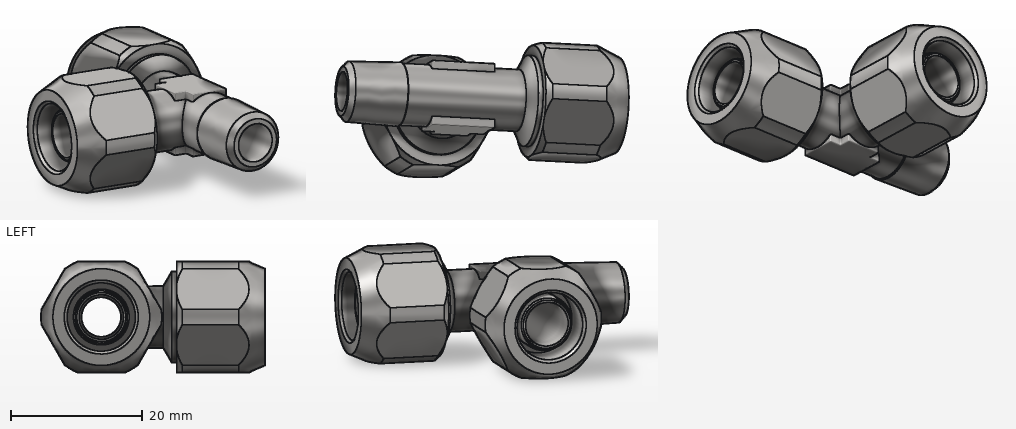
import cadquery as cq
import math

total_length = 43.5
arm_reach = 25.0
stub_reach = total_length - arm_reach

body_radius = 4.75
bore_radius = 3.4
stub_bore_radius = 3.0

block_half_width = 3.0
block_reach = 5.0
block_half_height = 5.0
block_edge_radius = 0.2

nut_flat_radius = 8.505
nut_corner_radius = 9.22
nut_length = 13.55
nut_mouth_radius = 7.4
nut_front_taper = 4.05
nut_back_radius = 8.53
nut_back_taper = 0.85

socket_radius = 5.2
socket_chamfer = 0.45
socket_depth = 6.52
spigot_recess = 2.1
spigot_tip_radius = 3.75
spigot_mid_radius = 4.0
spigot_radius = 4.25
spigot_tip_length = 0.25
spigot_taper_length = 0.85

collar_radius = 6.95
collar_length = 0.75
collar_taper = 1.3

stub_length = 9.1
stub_taper_ratio = 1 / 16
stub_radius = 4.9
stub_lead_in = 0.15
stub_chamfer = 0.85


def revolve_about_x(points):
    """Solid of revolution from (x, radius) points."""
    return cq.Workplane("XY").polyline(points).close().revolve(360, (0, 0, 0), (1, 0, 0))


def cylinder_along_x(radius, x_start, x_end):
    return cq.Workplane("YZ", origin=(x_start, 0, 0)).circle(radius).extrude(x_end - x_start)


def as_branch(arm):
    """Turn an arm lying along -X so that it lies along -Y."""
    return arm.rotate((0, 0, 0), (0, 0, 1), 90)


def make_nut():
    """Hexagon with flats facing +Z and -Z, tapered at both ends."""
    mouth = -arm_reach
    back = mouth + nut_length
    hexagon = (
        cq.Workplane("YZ", origin=(mouth, 0, 0))
        .polygon(6, 2 * nut_flat_radius / math.cos(math.pi / 6))
        .extrude(nut_length)
    )
    envelope = revolve_about_x([
        (mouth, 0),
        (mouth, nut_mouth_radius),
        (mouth + nut_front_taper, nut_corner_radius),
        (back - nut_back_taper, nut_corner_radius),
        (back, nut_back_radius),
        (back, 0),
    ])
    return hexagon.intersect(envelope)


def make_socket():
    """Ring-shaped cavity that leaves the tube spigot standing at its centre."""
    mouth = -arm_reach
    tip = mouth + spigot_recess
    floor = mouth + socket_depth
    cavity = revolve_about_x([
        (mouth, 0),
        (mouth, socket_radius + socket_chamfer),
        (mouth + socket_chamfer, socket_radius),
        (floor, socket_radius),
        (floor, 0),
    ])
    shoulder = tip + spigot_tip_length
    spigot = revolve_about_x([
        (tip, 0),
        (tip, spigot_tip_radius),
        (shoulder, spigot_mid_radius),
        (shoulder + spigot_taper_length, spigot_radius),
        (floor, spigot_radius),
        (floor, 0),
    ])
    return cavity.cut(spigot)


def make_arm():
    """Nut, collar and body tube reaching from the origin to the mouth at -X."""
    nut_back = -arm_reach + nut_length
    collar_end = nut_back + collar_length
    tube = revolve_about_x([
        (nut_back, 0),
        (nut_back, collar_radius),
        (collar_end, collar_radius),
        (collar_end + collar_taper, body_radius),
        (0, body_radius),
        (0, 0),
    ])
    return make_nut().union(tube).cut(make_socket())


def make_stub():
    """Plain tube and tapered end reaching from the origin towards +X."""
    large_end = stub_reach - stub_length
    chamfer_start = stub_reach - stub_chamfer
    small_radius = stub_radius - (chamfer_start - large_end) * stub_taper_ratio / 2
    return revolve_about_x([
        (0, 0),
        (0, body_radius),
        (large_end - stub_lead_in, body_radius),
        (large_end, stub_radius),
        (chamfer_start, small_radius),
        (stub_reach, small_radius - stub_chamfer),
        (stub_reach, 0),
    ])


def make_block():
    """T-shaped block with every edge rounded."""
    bar = cq.Workplane("XY").box(2 * block_reach, 2 * block_half_width, 2 * block_half_height)
    stem = (
        cq.Workplane("XY")
        .box(2 * block_half_width, block_reach, 2 * block_half_height)
        .translate((0, -block_reach / 2, 0))
    )
    return bar.union(stem).clean().edges().fillet(block_edge_radius)


arm = make_arm()
outside = arm.union(as_branch(arm)).union(make_stub()).union(make_block())

arm_bore = cylinder_along_x(bore_radius, -arm_reach, 0)
run_bore = cylinder_along_x(bore_radius, -arm_reach, block_reach)
stub_bore = cylinder_along_x(stub_bore_radius, 0, stub_reach)

result = outside.cut(run_bore).cut(as_branch(arm_bore)).cut(stub_bore)